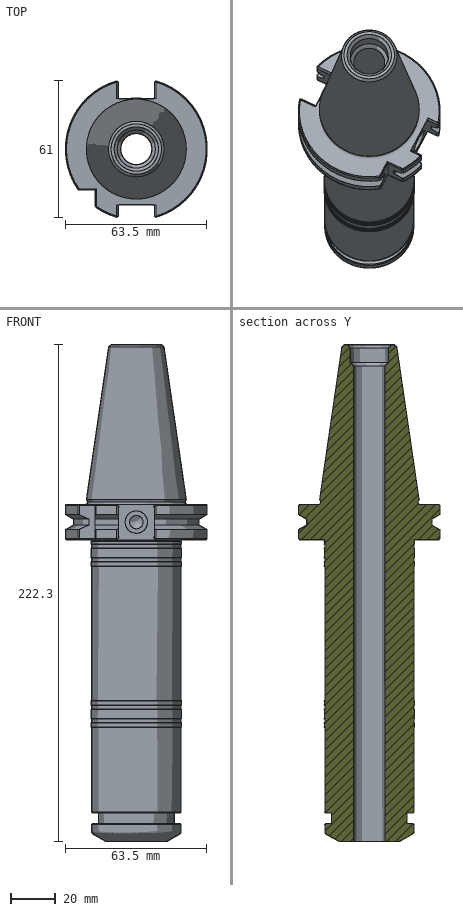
import cadquery as cq
import math

total_length = 222.25
taper_length = 68.25
bottom_z = taper_length - total_length

gauge_diameter = 44.45
taper_ratio = 7 / 24
shank_end_diameter = gauge_diameter - taper_ratio * taper_length
shank_end_chamfer = 1.0
taper_overrun = 1.0
relief_depth = 0.5
relief_fillet_radius = 1.0

flange_diameter = 63.5
flange_top_z = -3.18
flange_bottom_z = -19.05
flange_edge_chamfer = 0.5
groove_z = -11.13
groove_diameter = 56.25
groove_mouth_width = 6.8
groove_channel_width = 3.4
groove_floor_width = 2.7
groove_half_angle = 30

slot_width = 16.1
rear_slot_floor_y = 22.6
front_slot_floor_y = -25.0
slot_edge_chamfer = 0.78
slot_corner_radius = 0.4
notch_wall_x = -18.4
notch_wall_y = -18.4
notch_edge_chamfer = 0.5
chip_recess_diameter = 10.0
chip_recess_depth = 5.0
chip_hole_diameter = 6.0
chip_hole_depth = 8.0
drill_point_angle = 118

body_diameter = 40.0
ring_diameter = 40.5
narrow_ring = 2.25
wide_ring = 4.4
first_ring = 1.5
flange_gap = 0.6
ring_gap = 1.6
upper_rings_top_z = flange_bottom_z - flange_gap
lower_rings_top_z = -90.9

nut_neck_diameter = 34.0
nut_neck_top_z = -141.3
nut_edge_chamfer = 0.4
nut_neck_bottom_z = -145.9
nut_face_diameter = 27.4
nut_cone_angle = 30
nut_corner_radius = 1.5

select_margin = 0.01
corner_clearance = 0.1
cutter_overrun = 1.0

bore_diameter = 13.84
bore_mouth_diameter = 17.0
bore_mouth_depth = 8.0
bore_mouth_chamfer = 1.4


def revolve_outline(outline):
    """Revolve a closed (radius, z) sketch about the Z axis."""
    return outline.close().revolve(360, (0, 0, 0), (0, 1, 0))


def edges_between(low_corner, high_corner):
    """Selector for edges whose centres lie in the box between two corners, with a small margin."""
    low = [value - select_margin for value in low_corner]
    high = [value + select_margin for value in high_corner]
    return cq.selectors.BoxSelector(low, high)


def make_shank():
    large_end_radius = (gauge_diameter + taper_ratio * taper_overrun) / 2
    relief_radius = large_end_radius - relief_depth
    end_radius = shank_end_diameter / 2
    outline = (
        cq.Workplane("XZ")
        .moveTo(0, taper_length)
        .lineTo(end_radius - shank_end_chamfer, taper_length)
        .lineTo(end_radius + taper_ratio / 2 * shank_end_chamfer, taper_length - shank_end_chamfer)
        .lineTo(large_end_radius, -taper_overrun)
        .lineTo(relief_radius, flange_top_z + relief_fillet_radius)
        .radiusArc((relief_radius + relief_fillet_radius, flange_top_z), -relief_fillet_radius)
        .lineTo(0, flange_top_z)
    )
    return revolve_outline(outline)


def make_flange_blank():
    thickness = flange_top_z - flange_bottom_z
    return cq.Workplane("XY", origin=(0, 0, flange_bottom_z)).circle(flange_diameter / 2).extrude(thickness)


def make_flange_envelope():
    """Turned rim: chamfered corners and a V groove that runs into a narrower, steeper channel."""
    radius = flange_diameter / 2
    face_radius = radius - flange_edge_chamfer
    floor_radius = groove_diameter / 2
    floor_half = groove_floor_width / 2
    channel_half = groove_channel_width / 2
    mouth_half = groove_mouth_width / 2
    channel_radius = radius - (mouth_half - channel_half) / math.tan(math.radians(groove_half_angle))
    outline = cq.Workplane("XZ").polyline([
        (0, flange_top_z),
        (face_radius, flange_top_z),
        (radius, flange_top_z - flange_edge_chamfer),
        (radius, groove_z + mouth_half),
        (channel_radius, groove_z + channel_half),
        (floor_radius, groove_z + floor_half),
        (floor_radius, groove_z - floor_half),
        (channel_radius, groove_z - channel_half),
        (radius, groove_z - mouth_half),
        (radius, flange_bottom_z + flange_edge_chamfer),
        (face_radius, flange_bottom_z),
        (0, flange_bottom_z),
    ])
    return revolve_outline(outline)


def make_body():
    radius = body_diameter / 2
    neck_radius = nut_neck_diameter / 2
    cone_height = (body_diameter - nut_face_diameter) / 2 * math.tan(math.radians(nut_cone_angle))
    cone_top_z = bottom_z + cone_height
    outline = (
        cq.Workplane("XZ")
        .moveTo(0, flange_bottom_z)
        .lineTo(radius, flange_bottom_z)
        .lineTo(radius, nut_neck_top_z + nut_edge_chamfer)
        .lineTo(radius - nut_edge_chamfer, nut_neck_top_z)
        .lineTo(neck_radius, nut_neck_top_z)
        .lineTo(neck_radius, nut_neck_bottom_z)
        .lineTo(radius - nut_edge_chamfer, nut_neck_bottom_z)
        .lineTo(radius, nut_neck_bottom_z - nut_edge_chamfer)
        .lineTo(radius, cone_top_z)
        .lineTo(nut_face_diameter / 2, bottom_z)
        .lineTo(0, bottom_z)
    )
    nut_corner = edges_between((-radius, -radius, cone_top_z), (radius, radius, cone_top_z))
    return revolve_outline(outline).edges(nut_corner).fillet(nut_corner_radius)


def make_ring(top_z, height):
    """Raised ring whose two ends slope down to the body at 45 degrees."""
    ring_radius = ring_diameter / 2
    body_radius = body_diameter / 2
    end_z = top_z - height
    slope = ring_radius - body_radius
    outline = cq.Workplane("XZ").polyline([
        (0, top_z),
        (body_radius, top_z),
        (ring_radius, top_z - slope),
        (ring_radius, end_z + slope),
        (body_radius, end_z),
        (0, end_z),
    ])
    return revolve_outline(outline)


def make_ring_group(top_z, heights):
    """Coaxial rings from the top down, with grooves between them."""
    rings = []
    for height in heights:
        rings.append(make_ring(top_z, height))
        top_z -= height + ring_gap
    return rings


def extrude_through_flange(outline):
    return outline.close().extrude(flange_top_z - flange_bottom_z)


def make_drive_slot(floor_y):
    outer_y = math.copysign(flange_diameter / 2 + cutter_overrun, floor_y)
    half = slot_width / 2
    outline = cq.Workplane("XY", origin=(0, 0, flange_bottom_z)).polyline([
        (-half, floor_y),
        (half, floor_y),
        (half, outer_y),
        (-half, outer_y),
    ])
    return extrude_through_flange(outline)


def make_notch():
    outer = -flange_diameter / 2 - cutter_overrun
    outline = cq.Workplane("XY", origin=(0, 0, flange_bottom_z)).polyline([
        (notch_wall_x, notch_wall_y),
        (notch_wall_x, outer),
        (outer, outer),
        (outer, notch_wall_y),
    ])
    return extrude_through_flange(outline)


def make_chip_hole():
    """Recess and drilled hole with a conical end, bored inward from the front slot floor."""
    hole_radius = chip_hole_diameter / 2
    recess_radius = chip_recess_diameter / 2
    point_depth = hole_radius / math.tan(math.radians(drill_point_angle / 2))
    start_y = front_slot_floor_y
    return (
        cq.Workplane("XY", origin=(0, 0, groove_z))
        .moveTo(0, start_y)
        .lineTo(recess_radius, start_y)
        .lineTo(recess_radius, start_y + chip_recess_depth)
        .lineTo(hole_radius, start_y + chip_recess_depth)
        .lineTo(hole_radius, start_y + chip_hole_depth)
        .lineTo(0, start_y + chip_hole_depth + point_depth)
        .close()
        .revolve(360, (0, 0, 0), (0, 1, 0))
    )


def make_bore():
    mouth_radius = bore_mouth_diameter / 2
    mouth_bottom_z = taper_length - bore_mouth_depth
    seat_depth = mouth_radius - bore_diameter / 2
    outline = (
        cq.Workplane("XZ")
        .moveTo(0, taper_length)
        .lineTo(mouth_radius + bore_mouth_chamfer, taper_length)
        .lineTo(mouth_radius, taper_length - bore_mouth_chamfer)
        .lineTo(mouth_radius, mouth_bottom_z)
        .lineTo(bore_diameter / 2, mouth_bottom_z - seat_depth)
        .lineTo(bore_diameter / 2, bottom_z)
        .lineTo(0, bottom_z)
    )
    return revolve_outline(outline)


def in_flange(x_range, y_range):
    """Selector for edges over the full flange thickness within the given X and Y ranges."""
    (x_min, x_max), (y_min, y_max) = sorted(x_range), sorted(y_range)
    return edges_between((x_min, y_min, flange_bottom_z), (x_max, y_max, flange_top_z))


def finish_slot(flange, floor_y):
    """Chamfer the open edges of both slot walls and round the two floor corners."""
    half = slot_width / 2
    rim_y = math.copysign(flange_diameter / 2, floor_y)
    above_floor_y = floor_y + math.copysign(corner_clearance, floor_y)
    wall_edges = [in_flange((x, x), (above_floor_y, rim_y)) for x in (-half, half)]
    floor_corners = [in_flange((x, x), (floor_y, floor_y)) for x in (-half, half)]
    flange = flange.edges(wall_edges[0] + wall_edges[1]).chamfer(slot_edge_chamfer)
    return flange.edges(floor_corners[0] + floor_corners[1]).fillet(slot_corner_radius)


def finish_notch(flange):
    """Chamfer every edge of the notch walls except their common inner corner."""
    rim = -flange_diameter / 2
    x_wall = in_flange((notch_wall_x, notch_wall_x), (rim, notch_wall_y - corner_clearance))
    y_wall = in_flange((rim, notch_wall_x - corner_clearance), (notch_wall_y, notch_wall_y))
    return flange.edges(x_wall + y_wall).chamfer(notch_edge_chamfer)


flange = finish_notch(make_flange_blank().cut(make_notch()))
for slot_floor_y in (rear_slot_floor_y, front_slot_floor_y):
    flange = flange.cut(make_drive_slot(slot_floor_y))
    flange = finish_slot(flange, slot_floor_y)
flange = flange.intersect(make_flange_envelope()).cut(make_chip_hole())

upper_rings = make_ring_group(upper_rings_top_z, (first_ring, wide_ring, narrow_ring))
lower_rings = make_ring_group(lower_rings_top_z, (narrow_ring, wide_ring, narrow_ring))

result = make_shank().union(flange).union(make_body())
for ring in upper_rings + lower_rings:
    result = result.union(ring)
result = result.cut(make_bore())